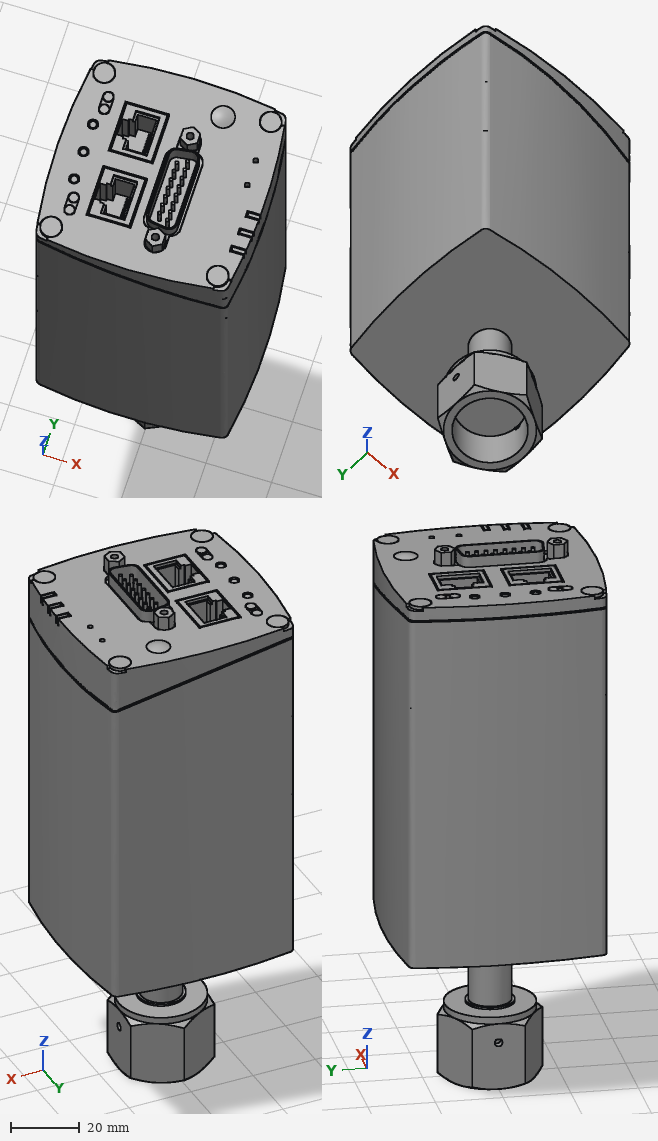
import cadquery as cq
import math

EPS = 0.5

HEX_HALF_ANGLE = 30.0
NUT_FLATS = 27.0
NUT_HEIGHT = 20.4
NUT_CHAMFER_ANGLE = 30.0
NUT_BORE_DIA = 22.0
NUT_BORE_DEPTH = 14.5
VENT_DIA = 2.29
VENT_Z = 14.5
COLLAR_TOP = 22.5
SHOULDER_DIA = 14.46
SHOULDER_TOP = 23.1
STEM_DIA = 12.7

HOUSING_BOTTOM = 45.8
HOUSING_TOP = 158.32
HOUSING_HALF = 31.5
HOUSING_CORNER = 29.0
HOUSING_CORNER_RADIUS = 2.1

PARTING_DROP_LEFT = 4.05
PARTING_DROP_MIDDLE = (3.7, 7.8)
PARTING_DROP_RIGHT = 14.9
PARTING_WIDTH = 0.4
PARTING_DEPTH = 0.3

SCREW_PITCH = 50.8
SCREW_DIA = 6.3
SCREW_GAP = 0.1
CORNER_STEP = 1.0

DOME_CENTER = (11.7, 22.65)
DOME_DIA = 7.0
DOME_HEIGHT = 0.8

SOCKET_X = -10.1
SOCKET_PITCH = 21.2
SOCKET_LENGTH = 16.2
SOCKET_WIDTH = 13.4
SOCKET_GAP = 0.45
SOCKET_GAP_DEPTH = 1.0
MOUTH_X = (-13.0, -5.8)
MOUTH_LENGTH = 12.6
MOUTH_LIP = 0.7
MOUTH_LIP_DEPTH = 1.0
MOUTH_DEPTH = 12.0
LATCH_X = -16.0
LATCH_LENGTH = 5.1
LATCH_THROAT_X = -14.1
LATCH_THROAT_LENGTH = 6.3
CONTACT_COUNT = 8
CONTACT_PITCH = 1.02
CONTACT_WIDTH = 0.5
CONTACT_REACH = 2.5
CONTACT_DROP = 9.0
CONTACT_HEIGHT = 1.0

CONNECTOR_CENTER = (4.95, -4.2)
CONNECTOR_SLANT = 8.0
OPENING_SIZE = (11.2, 28.2)
OPENING_RADIUS = 3.0
OPENING_DEPTH = 1.0
SHELL_SIZE = (9.4, 26.6)
SHELL_RADIUS = 2.6
SHELL_WALL = 0.5
SHELL_HEIGHT = 3.0
SHELL_INSIDE_DEPTH = 6.0
PIN_DIA = 1.0
PIN_PITCH = 2.77
PIN_ROW_OFFSET = 1.42
PIN_LENGTH = 5.0
PIN_ROWS = ((-PIN_ROW_OFFSET, 7), (PIN_ROW_OFFSET, 8))
STANDOFF_PITCH = 33.3
STANDOFF_FLATS = 5.2
STANDOFF_HEIGHT = 4.0
STANDOFF_HOLE_DIA = 2.16
STANDOFF_HOLE_DEPTH = 6.0
LOBE_DIA = 6.4

LAMP_X = -21.95
LAMP_PAIR_Y = (16.6, -16.6)
LAMP_SPACING = 4.0
LAMP_DIA = 3.0
LAMP_SLOT_WIDTH = 3.2
LAMP_SLOT_DEPTH = 0.5
BUTTON_X = -23.6
BUTTON_PITCH = 9.0
BUTTON_HOLE_DIA = 3.0
BUTTON_DIA = 2.16
BUTTON_HOLE_DEPTH = 2.0
BUTTON_DROP = 0.3
PINHOLE_DIA = 1.5
PINHOLE_DEPTH = 3.0
PINHOLE_CENTERS = [(24.9, 12.5), (24.9, 4.45)]

PIPE_STARTS = [(27.4, -4.27), (26.9, -10.1), (26.3, -16.0)]
PIPE_NOTCH_WIDTH = 1.95
PIPE_NOTCH_DEPTH = 2.3
PIPE_GAP = 0.4


def box(x_range, y_center, y_length, top, depth):
    """Box between two X values, centred on y_center, hanging down from top."""
    width = x_range[1] - x_range[0]
    middle = (x_range[0] + x_range[1]) / 2
    return cq.Workplane("XY", origin=(middle, y_center, top - depth)).box(
        width, y_length, depth, centered=(True, True, False))


def cylinder(center, diameter, bottom, top):
    plane = cq.Workplane("XY", origin=(center[0], center[1], bottom))
    return plane.circle(diameter / 2).extrude(top - bottom)


def hexagon(center, flats, bottom, top):
    """Hexagonal prism with flats facing -X and +X."""
    plane = cq.Workplane("XY", origin=(center[0], center[1], bottom))
    prism = plane.polygon(6, flats / math.cos(math.radians(HEX_HALF_ANGLE))).extrude(top - bottom)
    return prism.rotate((center[0], center[1], 0), (center[0], center[1], 1), HEX_HALF_ANGLE)


def coupling():
    nut = hexagon((0, 0), NUT_FLATS, 0, NUT_HEIGHT)
    radius = NUT_FLATS / 2
    corner_radius = radius / math.cos(math.radians(HEX_HALF_ANGLE)) + EPS
    rise = (corner_radius - radius) * math.tan(math.radians(NUT_CHAMFER_ANGLE))
    chamfer_body = (
        cq.Workplane("XZ")
        .moveTo(0, 0)
        .lineTo(radius, 0)
        .lineTo(corner_radius, rise)
        .lineTo(corner_radius, NUT_HEIGHT - rise)
        .lineTo(radius, NUT_HEIGHT)
        .lineTo(0, NUT_HEIGHT)
        .close()
        .revolve(360, (0, 0, 0), (0, 1, 0))
    )
    nut = nut.intersect(chamfer_body)
    nut = nut.union(cylinder((0, 0), NUT_FLATS, NUT_HEIGHT - EPS, COLLAR_TOP))
    nut = nut.union(cylinder((0, 0), SHOULDER_DIA, COLLAR_TOP - EPS, SHOULDER_TOP))
    nut = nut.union(cylinder((0, 0), STEM_DIA, SHOULDER_TOP - EPS, HOUSING_BOTTOM + EPS))
    nut = nut.cut(cylinder((0, 0), NUT_BORE_DIA, 0, NUT_BORE_DEPTH))
    vent = cq.Workplane("YZ").center(0, VENT_Z).circle(VENT_DIA / 2).extrude(NUT_FLATS, both=True)
    bore_wall = cylinder((0, 0), NUT_BORE_DIA, 0, NUT_HEIGHT)
    return nut.cut(vent.cut(bore_wall))


def housing_block(inset=0.0):
    crown = HOUSING_HALF - inset
    corner = HOUSING_CORNER - inset
    return (
        cq.Workplane("XY", origin=(0, 0, HOUSING_BOTTOM))
        .moveTo(-corner, -corner)
        .threePointArc((0, -crown), (corner, -corner))
        .threePointArc((crown, 0), (corner, corner))
        .threePointArc((0, crown), (-corner, corner))
        .threePointArc((-crown, 0), (-corner, -corner))
        .close()
        .extrude(HOUSING_TOP - HOUSING_BOTTOM)
        .edges("|Z")
        .fillet(HOUSING_CORNER_RADIUS)
    )


def parting_groove():
    left = HOUSING_TOP - PARTING_DROP_LEFT
    middle_x, middle_drop = PARTING_DROP_MIDDLE
    middle = HOUSING_TOP - middle_drop
    right = HOUSING_TOP - PARTING_DROP_RIGHT
    band = (
        cq.Workplane("XZ")
        .moveTo(-HOUSING_HALF, left)
        .threePointArc((middle_x, middle), (HOUSING_HALF, right))
        .lineTo(HOUSING_HALF, right - PARTING_WIDTH)
        .threePointArc((middle_x, middle - PARTING_WIDTH), (-HOUSING_HALF, left - PARTING_WIDTH))
        .close()
        .extrude(HOUSING_HALF + EPS, both=True)
    )
    return band.cut(housing_block(PARTING_DEPTH))


def cut_screw_corners(body):
    """Lower each corner beyond its screw centre and leave the screw head standing."""
    half = SCREW_PITCH / 2
    for side_x in (-1, 1):
        for side_y in (-1, 1):
            center = (side_x * half, side_y * half)
            outer_x = side_x * (HOUSING_HALF + EPS)
            outer_y = side_y * (HOUSING_HALF + EPS)
            x_range = sorted((center[0], outer_x))
            corner = box(x_range, (center[1] + outer_y) / 2, abs(outer_y - center[1]),
                         HOUSING_TOP, CORNER_STEP)
            head = cylinder(center, SCREW_DIA, HOUSING_TOP - CORNER_STEP, HOUSING_TOP)
            pocket = cylinder(center, SCREW_DIA + 2 * SCREW_GAP, HOUSING_TOP - CORNER_STEP, HOUSING_TOP)
            body = body.cut(corner.union(pocket).cut(head))
    return body


def dome():
    base_radius = DOME_DIA / 2
    sphere_radius = (base_radius ** 2 + DOME_HEIGHT ** 2) / (2 * DOME_HEIGHT)
    center_z = HOUSING_TOP + DOME_HEIGHT - sphere_radius
    ball = cq.Workplane("XY", origin=(*DOME_CENTER, center_z)).sphere(sphere_radius)
    return ball.intersect(cylinder(DOME_CENTER, DOME_DIA, HOUSING_TOP - EPS, HOUSING_TOP + DOME_HEIGHT))


def cut_socket(body, y):
    """Gap around the socket, then its stepped mouth with latch notch and contacts."""
    half = SOCKET_WIDTH / 2
    outer_x = (SOCKET_X - half, SOCKET_X + half)
    inner_x = (outer_x[0] + SOCKET_GAP, outer_x[1] - SOCKET_GAP)
    gap = box(outer_x, y, SOCKET_LENGTH, HOUSING_TOP, SOCKET_GAP_DEPTH)
    gap = gap.cut(box(inner_x, y, SOCKET_LENGTH - 2 * SOCKET_GAP, HOUSING_TOP, SOCKET_GAP_DEPTH))

    throat_x = (MOUTH_X[0] + MOUTH_LIP, MOUTH_X[1] - MOUTH_LIP)
    mouth = box(MOUTH_X, y, MOUTH_LENGTH, HOUSING_TOP, MOUTH_LIP_DEPTH)
    mouth = mouth.union(box(throat_x, y, MOUTH_LENGTH - 2 * MOUTH_LIP, HOUSING_TOP, MOUTH_DEPTH))
    mouth = mouth.union(box((LATCH_X, throat_x[0]), y, LATCH_LENGTH, HOUSING_TOP, MOUTH_DEPTH))
    mouth = mouth.union(
        box((LATCH_THROAT_X, throat_x[0]), y, LATCH_THROAT_LENGTH, HOUSING_TOP, MOUTH_DEPTH))

    for index in range(CONTACT_COUNT):
        contact_y = y + (index - (CONTACT_COUNT - 1) / 2) * CONTACT_PITCH
        contact = box((MOUTH_X[1] - CONTACT_REACH, MOUTH_X[1]), contact_y, CONTACT_WIDTH,
                      HOUSING_TOP - CONTACT_DROP, CONTACT_HEIGHT)
        mouth = mouth.cut(contact)
    return body.cut(gap).cut(mouth)


def d_prism(size, radius, bottom, top):
    """Rounded D outline, longest on its +X side, about the connector centre."""
    half_width = size[0] / 2
    long_half = size[1] / 2
    short_half = long_half - size[0] * math.tan(math.radians(CONNECTOR_SLANT))
    return (
        cq.Workplane("XY", origin=(*CONNECTOR_CENTER, bottom))
        .polyline([
            (half_width, -long_half),
            (half_width, long_half),
            (-half_width, short_half),
            (-half_width, -short_half),
        ])
        .close()
        .extrude(top - bottom)
        .edges("|Z")
        .fillet(radius)
    )


def add_connector(body):
    center_x, center_y = CONNECTOR_CENTER
    opening_floor = HOUSING_TOP - OPENING_DEPTH
    shell_top = HOUSING_TOP + SHELL_HEIGHT
    shell_floor = shell_top - SHELL_INSIDE_DEPTH

    lobes = (
        cq.Workplane("XY", origin=(center_x, center_y, opening_floor))
        .slot2D(STANDOFF_PITCH + LOBE_DIA, LOBE_DIA, 90)
        .extrude(OPENING_DEPTH)
    )
    body = body.cut(d_prism(OPENING_SIZE, OPENING_RADIUS, opening_floor, HOUSING_TOP)).cut(lobes)

    body = body.union(d_prism(SHELL_SIZE, SHELL_RADIUS, opening_floor - EPS, shell_top))
    inside_size = (SHELL_SIZE[0] - 2 * SHELL_WALL, SHELL_SIZE[1] - 2 * SHELL_WALL)
    body = body.cut(d_prism(inside_size, SHELL_RADIUS - SHELL_WALL, shell_floor, shell_top))

    for row_x, count in PIN_ROWS:
        for index in range(count):
            pin_y = center_y + (index - (count - 1) / 2) * PIN_PITCH
            pin_center = (center_x + row_x, pin_y)
            body = body.union(cylinder(pin_center, PIN_DIA, shell_floor - EPS, shell_floor + PIN_LENGTH))

    standoff_top = HOUSING_TOP + STANDOFF_HEIGHT
    for side in (-1, 1):
        center = (center_x, center_y + side * STANDOFF_PITCH / 2)
        body = body.union(hexagon(center, STANDOFF_FLATS, opening_floor - EPS, standoff_top))
        hole_bottom = standoff_top - STANDOFF_HOLE_DEPTH
        body = body.cut(cylinder(center, STANDOFF_HOLE_DIA, hole_bottom, standoff_top))
    return body


def cut_lamp_pair(body, y):
    floor = HOUSING_TOP - LAMP_SLOT_DEPTH
    slot = (
        cq.Workplane("XY", origin=(LAMP_X, y, floor))
        .slot2D(LAMP_SPACING + LAMP_SLOT_WIDTH, LAMP_SLOT_WIDTH, 90)
        .extrude(LAMP_SLOT_DEPTH)
    )
    for side in (-1, 1):
        slot = slot.cut(cylinder((LAMP_X, y + side * LAMP_SPACING / 2), LAMP_DIA, floor, HOUSING_TOP))
    return body.cut(slot)


def cut_button(body, y):
    center = (BUTTON_X, y)
    floor = HOUSING_TOP - BUTTON_HOLE_DEPTH
    hole = cylinder(center, BUTTON_HOLE_DIA, floor, HOUSING_TOP)
    return body.cut(hole.cut(cylinder(center, BUTTON_DIA, floor, HOUSING_TOP - BUTTON_DROP)))


def cut_light_pipe(body, start_x, y):
    """Notch through the +X edge, holding a pipe that is flush with the housing."""
    outer_x = HOUSING_HALF + EPS
    notch = box((start_x, outer_x), y, PIPE_NOTCH_WIDTH, HOUSING_TOP, PIPE_NOTCH_DEPTH)
    pipe = box((start_x + PIPE_GAP, outer_x), y, PIPE_NOTCH_WIDTH - 2 * PIPE_GAP,
               HOUSING_TOP, PIPE_NOTCH_DEPTH)
    return body.cut(notch.cut(pipe))


part = housing_block().cut(parting_groove())
part = cut_screw_corners(part)
for socket_side in (-1, 1):
    part = cut_socket(part, socket_side * SOCKET_PITCH / 2)
for pair_y in LAMP_PAIR_Y:
    part = cut_lamp_pair(part, pair_y)
for button_index in (-1, 0, 1):
    part = cut_button(part, button_index * BUTTON_PITCH)
for pinhole_center in PINHOLE_CENTERS:
    part = part.cut(cylinder(pinhole_center, PINHOLE_DIA, HOUSING_TOP - PINHOLE_DEPTH, HOUSING_TOP))
for pipe_x, pipe_y in PIPE_STARTS:
    part = cut_light_pipe(part, pipe_x, pipe_y)
part = add_connector(part)
part = part.union(dome())
result = part.union(coupling())